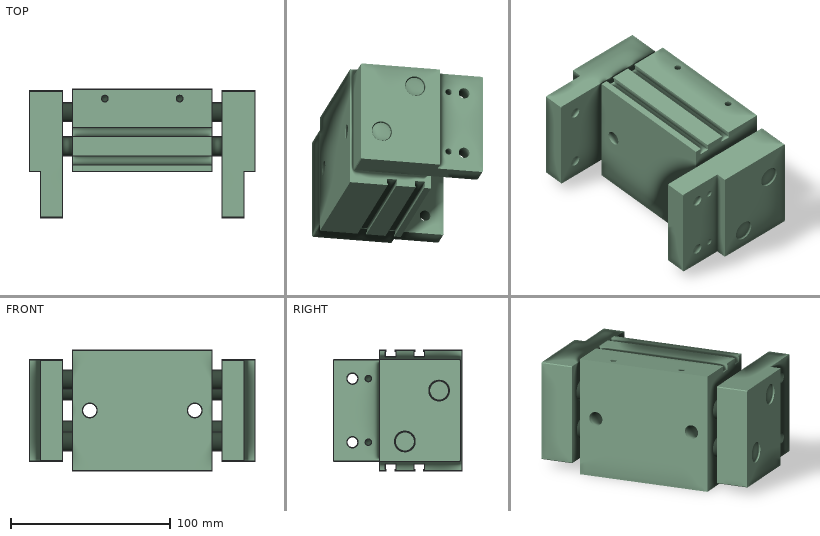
import cadquery as cq
import math


HOUSING_LENGTH = 88.0
HOUSING_DEPTH = 52.0
HOUSING_HEIGHT = 76.0
HOUSING_FRONT_Y = -HOUSING_DEPTH / 2
HOUSING_BACK_Y = HOUSING_DEPTH / 2
HOUSING_TOP_Z = HOUSING_HEIGHT / 2

SLOT_NECK_WIDTH = 5.5
SLOT_WIDTH = 6.5
SLOT_DEPTH = 4.2
SLOT_LIP = 1.0
SLOT_FRONT_OFFSET = 7.0
SLOT_PITCH = 18.0

MOUNT_DIAMETER = 9.0
MOUNT_X = 33.0
PORT_DIAMETER = 4.2
PORT_DEPTH = 8.0
PORT_X = 23.5
PORT_BACK_OFFSET = 6.0
DRILL_POINT_ANGLE = 118.0

JAW_GAP = 6.0
JAW_THICKNESS = 21.0
JAW_HEIGHT = 64.0
JAW_BACK_SETBACK = 1.0
JAW_CHAMFER = 0.5
FINGER_THICKNESS = 14.0
FINGER_REACH = 29.0
JAW_INNER_X = HOUSING_LENGTH / 2 + JAW_GAP
JAW_OUTER_X = JAW_INNER_X + JAW_THICKNESS
FINGER_OUTER_X = JAW_INNER_X + FINGER_THICKNESS
JAW_BACK_Y = HOUSING_BACK_Y - JAW_BACK_SETBACK
FINGER_TIP_Y = HOUSING_FRONT_Y - FINGER_REACH

FINGER_HOLE_DIAMETER = 6.8
FINGER_HOLE_OFFSET = 17.0
DOWEL_DIAMETER = 4.0
DOWEL_DEPTH = 8.0
DOWEL_OFFSET = 7.0
FINGER_HOLE_Z = 20.0

ROD_DIAMETER = 12.0
ROD_CLEARANCE_DIAMETER = 13.0
ROD_END_RECESS = 1.0
ROD_END_X = JAW_OUTER_X - ROD_END_RECESS
FRONT_ROD_Y = HOUSING_FRONT_Y + 16.0
BACK_ROD_Y = HOUSING_FRONT_Y + 37.5
FRONT_ROD_Z = 19.5
BACK_ROD_Z = 12.5
RIGHT_JAW_RODS = [(FRONT_ROD_Y, FRONT_ROD_Z), (BACK_ROD_Y, -BACK_ROD_Z)]
LEFT_JAW_RODS = [(y, -z) for y, z in RIGHT_JAW_RODS]


def x_cylinders(centres, diameter, start_x, end_x):
    """Cylinders along X at the given (Y, Z) centres."""
    return (
        cq.Workplane("YZ", origin=(start_x, 0, 0))
        .pushPoints(centres)
        .circle(diameter / 2)
        .extrude(end_x - start_x)
    )


def blind_hole(diameter, depth, mouth, direction):
    """Cutting tool for a drilled hole with a conical bottom."""
    radius = diameter / 2
    tip_depth = depth + radius / math.tan(math.radians(DRILL_POINT_ANGLE / 2))
    profile = cq.Workplane("XZ").polyline([(0, 0), (radius, 0), (radius, depth), (0, tip_depth)]).close()
    drill = profile.revolve(360, (0, 0, 0), (0, 1, 0)).val()
    return drill.moved(cq.Location(cq.Plane(origin=mouth, normal=direction)))


def sensor_slot(center_y):
    """Cutting tool for an undercut slot in the top face."""
    lip_z = HOUSING_TOP_Z - SLOT_LIP
    floor_z = HOUSING_TOP_Z - SLOT_DEPTH
    neck = cq.Workplane("XY").box(
        HOUSING_LENGTH, SLOT_NECK_WIDTH, SLOT_DEPTH, centered=(True, True, False)
    )
    pocket = cq.Workplane("XY").box(HOUSING_LENGTH, SLOT_WIDTH, lip_z - floor_z, centered=(True, True, False))
    return neck.union(pocket).translate((0, center_y, floor_z))


def make_housing():
    body = cq.Workplane("XY").box(HOUSING_LENGTH, HOUSING_DEPTH, HOUSING_HEIGHT)

    for index in range(2):
        slot = sensor_slot(HOUSING_FRONT_Y + SLOT_FRONT_OFFSET + index * SLOT_PITCH)
        body = body.cut(slot).cut(slot.mirror("XY"))

    mount_holes = (
        cq.Workplane("XZ")
        .pushPoints([(-MOUNT_X, 0), (MOUNT_X, 0)])
        .circle(MOUNT_DIAMETER / 2)
        .extrude(HOUSING_DEPTH / 2, both=True)
    )
    body = body.cut(mount_holes)

    for port_x in (-PORT_X, PORT_X):
        mouth = (port_x, HOUSING_BACK_Y - PORT_BACK_OFFSET, HOUSING_TOP_Z)
        body = body.cut(cq.Workplane(blind_hole(PORT_DIAMETER, PORT_DEPTH, mouth, (0, 0, -1))))

    rod_bores = x_cylinders(
        LEFT_JAW_RODS + RIGHT_JAW_RODS, ROD_DIAMETER, -HOUSING_LENGTH / 2, HOUSING_LENGTH / 2
    )
    return body.cut(rod_bores)


def make_right_jaw():
    """L-shaped jaw on the +X side, with its rods ending just inside the far jaw's outer face."""
    outline = [
        (JAW_INNER_X, JAW_BACK_Y),
        (JAW_OUTER_X, JAW_BACK_Y),
        (JAW_OUTER_X, HOUSING_FRONT_Y),
        (FINGER_OUTER_X, HOUSING_FRONT_Y),
        (FINGER_OUTER_X, FINGER_TIP_Y),
        (JAW_INNER_X, FINGER_TIP_Y),
    ]
    jaw = cq.Workplane("XY").polyline(outline).close().extrude(JAW_HEIGHT / 2, both=True)
    for end_face in ("<Y", ">Y"):
        jaw = jaw.faces(end_face).edges("|X").chamfer(JAW_CHAMFER)

    hole_y = HOUSING_FRONT_Y - FINGER_HOLE_OFFSET
    hole_centres = [(hole_y, -FINGER_HOLE_Z), (hole_y, FINGER_HOLE_Z)]
    jaw = jaw.cut(x_cylinders(hole_centres, FINGER_HOLE_DIAMETER, JAW_INNER_X, FINGER_OUTER_X))
    for dowel_z in (-FINGER_HOLE_Z, FINGER_HOLE_Z):
        mouth = (FINGER_OUTER_X, HOUSING_FRONT_Y - DOWEL_OFFSET, dowel_z)
        jaw = jaw.cut(cq.Workplane(blind_hole(DOWEL_DIAMETER, DOWEL_DEPTH, mouth, (-1, 0, 0))))

    jaw = jaw.cut(x_cylinders(LEFT_JAW_RODS, ROD_CLEARANCE_DIAMETER, JAW_INNER_X, JAW_OUTER_X))
    return jaw.union(x_cylinders(RIGHT_JAW_RODS, ROD_DIAMETER, -ROD_END_X, JAW_INNER_X))


housing = make_housing()
right_jaw = make_right_jaw()
left_jaw = right_jaw.rotate((0, 0, 0), (0, 1, 0), 180)

result = cq.Compound.makeCompound([housing.val(), right_jaw.val(), left_jaw.val()])